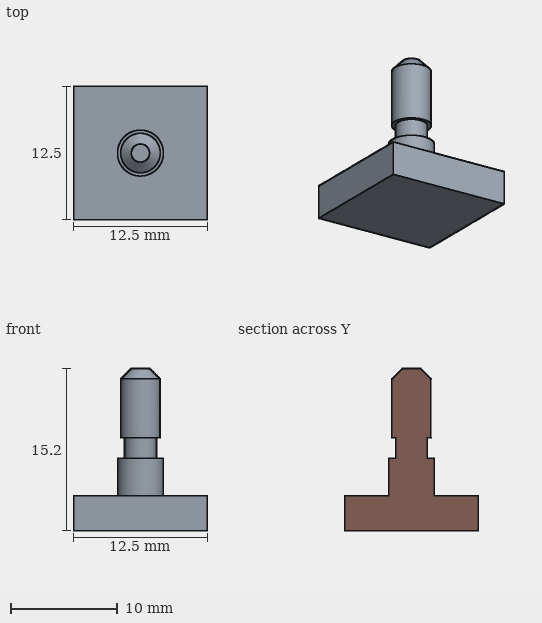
import cadquery as cq

base_side = 12.5
base_thickness = 3.3

collar_diameter = 4.3
collar_height = 3.5
neck_diameter = 3.0
neck_height = 1.9
shank_diameter = 3.7
tip_chamfer = 1.0

overall_height = 15.2
shank_height = overall_height - base_thickness - collar_height - neck_height


def make_base():
    """Square plate centred on the pin axis, with its underside at Z = 0."""
    return cq.Workplane("XY").rect(base_side, base_side).extrude(base_thickness)


def add_pin_section(body, diameter, height):
    """Stack a coaxial cylinder on the top face of the body."""
    return body.faces(">Z").workplane(origin=(0, 0, 0)).circle(diameter / 2).extrude(height)


def make_part():
    body = make_base()
    body = add_pin_section(body, collar_diameter, collar_height)
    body = add_pin_section(body, neck_diameter, neck_height)
    body = add_pin_section(body, shank_diameter, shank_height)
    return body.faces(">Z").edges().chamfer(tip_chamfer)


result = make_part()